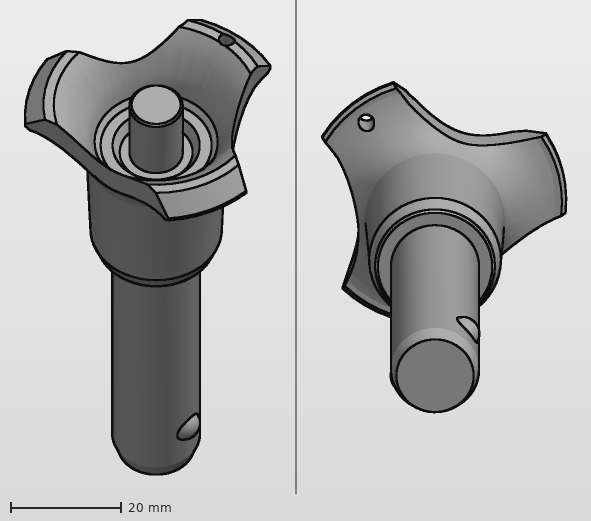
import cadquery as cq
import math

total_height = 98.7
shank_radius = 8.0
tip_radius = 7.0
tip_height = 3.3

ball_radius = 3.1
ball_reach = 9.5
ball_z = 11.4

grip_bottom_z = 59.0
barrel_bottom_z = 62.7
barrel_top_z = 84.6
grip_foot_radius = 10.9
foot_edge = 0.5
barrel_bottom_radius = 11.9
barrel_top_radius = 12.6

rim_radius = 23.8
rim_edge_z = 95.3
rim_underside_z = 94.0
rim_underside_radius = 21.9
rim_edge_rounding = 0.8
flare_mid = (15.4, 90.4)
rim_top_outer_radius = 20.4
rim_top_inner_radius = 18.6

bowl_mid = (14.0, 94.2)
bowl_wall_radius = 11.2
bowl_floor_radius = 10.1
bowl_floor_z = 86.9
bowl_wall_z = bowl_floor_z + bowl_wall_radius - bowl_floor_radius
recess_radius = 7.9
recess_floor_radius = 6.6
recess_floor_z = 84.9
button_radius = 4.8
button_edge = 0.4

back_arm_half_width = 8.3
back_arm_flank_y = 17.8
side_scallop_mid = (12.2, 7.1)
outline_width = 47.3
side_corner_x = outline_width / 2
front_corner_y = -16.7
front_scallop_y = -14.1

lanyard_hole_diameter = 2.9
lanyard_hole_y = 19.8


def make_shank():
    """Round shank with a tapered tip, reaching up into the grip."""
    tip = (
        cq.Workplane("XY")
        .circle(tip_radius)
        .workplane(offset=tip_height)
        .circle(shank_radius)
        .loft(ruled=True)
    )
    body = (
        cq.Workplane("XY")
        .workplane(offset=tip_height)
        .circle(shank_radius)
        .extrude(barrel_bottom_z - tip_height)
    )
    return tip.union(body)


def make_flared_grip():
    """Revolved barrel and trumpet rim, hollowed by a bowl with a conical recess."""
    profile = (
        cq.Workplane("XZ")
        .moveTo(0, grip_bottom_z)
        .lineTo(grip_foot_radius - foot_edge, grip_bottom_z)
        .lineTo(grip_foot_radius, grip_bottom_z + foot_edge)
        .lineTo(barrel_bottom_radius, barrel_bottom_z)
        .lineTo(barrel_top_radius, barrel_top_z)
        .threePointArc(flare_mid, (rim_underside_radius, rim_underside_z))
        .lineTo(rim_radius - rim_edge_rounding, rim_underside_z)
        .lineTo(rim_radius, rim_underside_z + rim_edge_rounding)
        .lineTo(rim_radius, rim_edge_z)
        .lineTo(rim_top_outer_radius, total_height)
        .lineTo(rim_top_inner_radius, total_height)
        .threePointArc(bowl_mid, (bowl_wall_radius, bowl_wall_z))
        .lineTo(bowl_floor_radius, bowl_floor_z)
        .lineTo(recess_radius, bowl_floor_z)
        .lineTo(recess_floor_radius, recess_floor_z)
        .lineTo(0, recess_floor_z)
        .close()
    )
    return profile.revolve(360, (0, 0, 0), (0, 1, 0))


def make_arm_outline():
    """Prism with three arms, separated by two side scallops and a shallow front one."""
    back_corner_y = math.sqrt(rim_radius**2 - back_arm_half_width**2)
    side_corner_y = -math.sqrt(rim_radius**2 - side_corner_x**2)
    front_corner_x = math.sqrt(rim_radius**2 - front_corner_y**2)
    side_angle = math.atan2(side_corner_y, side_corner_x)
    front_angle = math.atan2(front_corner_y, front_corner_x)
    arm_angle = (side_angle + front_angle) / 2
    arm_x = rim_radius * math.cos(arm_angle)
    arm_y = rim_radius * math.sin(arm_angle)
    scallop_x, scallop_y = side_scallop_mid
    return (
        cq.Workplane("XY")
        .workplane(offset=grip_bottom_z)
        .moveTo(-back_arm_half_width, back_corner_y)
        .threePointArc((0, rim_radius), (back_arm_half_width, back_corner_y))
        .lineTo(back_arm_half_width, back_arm_flank_y)
        .threePointArc((scallop_x, scallop_y), (side_corner_x, side_corner_y))
        .threePointArc((arm_x, arm_y), (front_corner_x, front_corner_y))
        .threePointArc((0, front_scallop_y), (-front_corner_x, front_corner_y))
        .threePointArc((-arm_x, arm_y), (-side_corner_x, side_corner_y))
        .threePointArc((-scallop_x, scallop_y), (-back_arm_half_width, back_arm_flank_y))
        .close()
        .extrude(total_height - grip_bottom_z)
    )


def make_button():
    """Release button standing in the bowl, flush with the rim top."""
    return (
        cq.Workplane("XY")
        .workplane(offset=barrel_top_z)
        .circle(button_radius)
        .extrude(total_height - barrel_top_z)
        .faces(">Z")
        .chamfer(button_edge)
    )


def make_lanyard_hole():
    """Vertical drill through the back arm."""
    return (
        cq.Workplane("XY")
        .workplane(offset=barrel_top_z)
        .center(0, lanyard_hole_y)
        .circle(lanyard_hole_diameter / 2)
        .extrude(total_height - barrel_top_z)
    )


grip = make_flared_grip().intersect(make_arm_outline()).cut(make_lanyard_hole())
result = make_shank().union(grip).union(make_button())

for side in (-1, 1):
    ball_x = side * (ball_reach - ball_radius)
    ball = cq.Workplane("XY").sphere(ball_radius).translate((ball_x, 0, ball_z))
    result = result.union(ball)